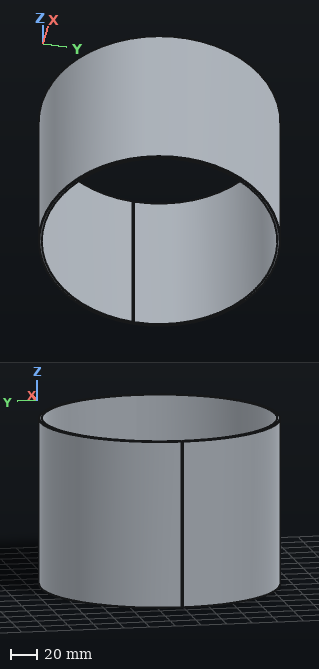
import cadquery as cq
import math

outer_diameter = 185.0
wall_thickness = 2.5
height = 130.0
outer_chamfer = 0.5
inner_chamfer = 0.2
slit_angle = 1.0

outer_radius = outer_diameter / 2
inner_radius = outer_radius - wall_thickness
cutter_length = outer_radius + wall_thickness


def sleeve():
    """Thin-walled tube about Z, standing on the XY plane, with every rim edge chamfered."""
    wall_section = [
        (outer_radius, outer_chamfer),
        (outer_radius, height - outer_chamfer),
        (outer_radius - outer_chamfer, height),
        (inner_radius + inner_chamfer, height),
        (inner_radius, height - inner_chamfer),
        (inner_radius, inner_chamfer),
        (inner_radius + inner_chamfer, 0),
        (outer_radius - outer_chamfer, 0),
    ]
    axis_start = (0, 0, 0)
    axis_end = (0, 1, 0)
    return cq.Workplane("XZ").polyline(wall_section).close().revolve(360, axis_start, axis_end)


def slit_cutter():
    """Full-height wedge from the axis through the -X wall: one face on the XZ plane, opening toward +Y."""
    far_width = cutter_length * math.tan(math.radians(slit_angle))
    wedge = [
        (0, 0),
        (-cutter_length, 0),
        (-cutter_length, far_width),
    ]
    return cq.Workplane("XY").polyline(wedge).close().extrude(height)


result = sleeve().cut(slit_cutter())